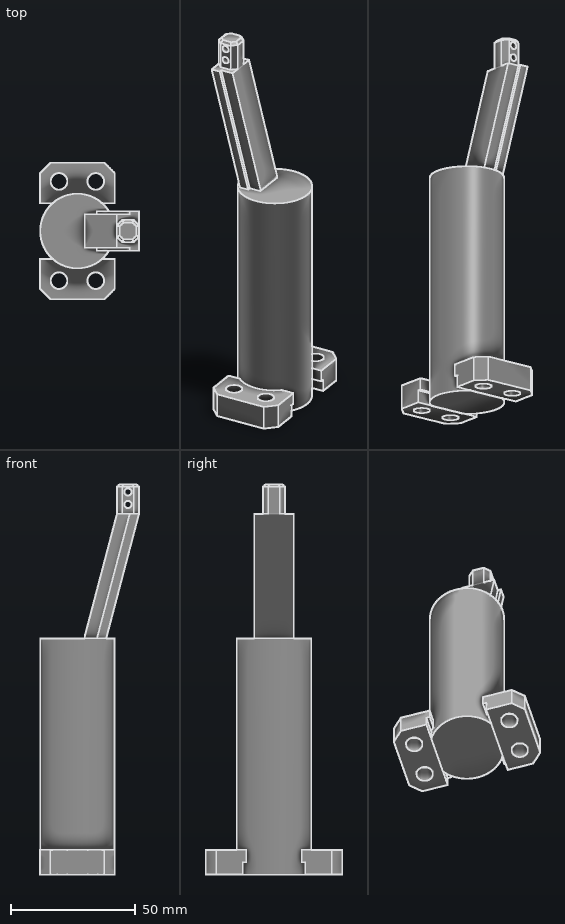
import cadquery as cq

post_diameter = 30.0
post_height = 95.0
post_radius = post_diameter / 2

arm_top = 145.0
arm_lean = 13.2
arm_top_left = 15.9
arm_top_right = 24.8
arm_step_x = 21.0
arm_narrow_width = 13.3
arm_wide_width = 16.0
arm_foot_height = 1.0

tip_top = 157.0
tip_width = arm_top_right - arm_top_left
tip_center_x = (arm_top_left + arm_top_right) / 2
tip_corner_chamfer = 2.2
tip_top_chamfer = 1.1
tip_hole_diameter = 2.8
tip_hole_heights = (148.8, 153.9)

clamp_length = 30.1
clamp_bottom = 0.2
clamp_top = 10.0
clamp_outer_y = 27.5
clamp_nose_y = 11.1
clamp_heel_y = 12.5
clamp_step_z = 5.2
clamp_corner_chamfer = 4.2
clamp_hole_diameter = 6.6
clamp_hole_x = 7.4
clamp_hole_y = 20.0


def make_arm():
    """Loft the T-shaped section up its lean and trim the leading face upright at the foot."""
    half_narrow = arm_narrow_width / 2
    half_wide = arm_wide_width / 2
    section = [
        (arm_top_left, -half_narrow),
        (arm_step_x, -half_narrow),
        (arm_step_x, -half_wide),
        (arm_top_right, -half_wide),
        (arm_top_right, half_wide),
        (arm_step_x, half_wide),
        (arm_step_x, half_narrow),
        (arm_top_left, half_narrow),
    ]
    foot = [(x - arm_lean, y) for x, y in section]
    arm = (
        cq.Workplane("XY", origin=(0, 0, post_height))
        .polyline(foot).close()
        .workplane(offset=arm_top - post_height)
        .polyline(section).close()
        .loft(ruled=True, combine=True)
    )
    foot_left = arm_top_left - arm_lean
    foot_trim = arm_lean * arm_foot_height / (arm_top - post_height)
    trim = (
        cq.Workplane("XY", origin=(foot_left + foot_trim / 2, 0, post_height))
        .rect(foot_trim, arm_narrow_width)
        .extrude(arm_foot_height)
    )
    return arm.cut(trim)


def make_tip():
    """Chamfered upright tip with cross holes along Y."""
    tip = (
        cq.Workplane("XY", origin=(tip_center_x, 0, arm_top))
        .rect(tip_width, tip_width)
        .extrude(tip_top - arm_top)
        .edges("|Z").chamfer(tip_corner_chamfer)
        .faces(">Z").chamfer(tip_top_chamfer)
    )
    holes = (
        cq.Workplane("XZ")
        .pushPoints([(tip_center_x, z) for z in tip_hole_heights])
        .circle(tip_hole_diameter / 2)
        .extrude(tip_width, both=True)
    )
    return tip.cut(holes)


def make_clamp_block(side):
    """Stepped clamp block without holes; side is +1 for +Y and -1 for -Y."""
    profile = [
        (side * clamp_heel_y, clamp_bottom),
        (side * clamp_outer_y, clamp_bottom),
        (side * clamp_outer_y, clamp_top),
        (side * clamp_nose_y, clamp_top),
        (side * clamp_nose_y, clamp_step_z),
        (side * clamp_heel_y, clamp_step_z),
    ]
    outer_face = ">Y" if side > 0 else "<Y"
    return (
        cq.Workplane("YZ")
        .polyline(profile).close()
        .extrude(clamp_length / 2, both=True)
        .faces(outer_face).edges("|Z").chamfer(clamp_corner_chamfer)
    )


def make_clamp(side):
    """Clamp block with its two vertical bolt holes."""
    holes = (
        cq.Workplane("XY")
        .pushPoints([(x, side * clamp_hole_y) for x in (-clamp_hole_x, clamp_hole_x)])
        .circle(clamp_hole_diameter / 2)
        .extrude(clamp_top)
    )
    return make_clamp_block(side).cut(holes)


def make_notch(side):
    """Space in the post taken by a clamp, open down to the post's bottom."""
    length_y = clamp_outer_y - clamp_heel_y
    relief = cq.Workplane("XY").box(clamp_length, length_y, clamp_step_z, centered=(True, True, False))
    relief = relief.translate((0, side * (clamp_heel_y + length_y / 2), 0))
    return make_clamp_block(side).union(relief)


def make_post():
    """Column with clamp notches, leaning arm and tip in one piece."""
    post = cq.Workplane("XY").circle(post_radius).extrude(post_height)
    for side in (-1, 1):
        post = post.cut(make_notch(side))
    return post.union(make_arm()).union(make_tip())


post = make_post()
clamps = [make_clamp(side) for side in (-1, 1)]

result = cq.Compound.makeCompound([post.val(), *[clamp.val() for clamp in clamps]])